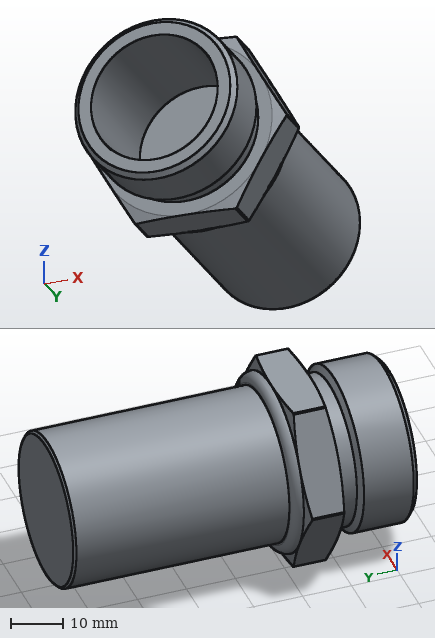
import cadquery as cq
import math

total_length = 70.0
groove_start = 11.2
groove_chamfer_length = 0.9
hex_start = 16.0
hex_end = 24.0
collar_end = 26.05
bore_depth = collar_end

thread_diameter = 33.25
groove_diameter = 30.3
tube_diameter = 31.0
bore_diameter = 26.0
across_flats = 36.0
sharp_corner_diameter = across_flats / math.cos(math.radians(30))
corner_diameter = 41.4

nose_chamfer = 1.05
tube_chamfer = 0.5
hex_chamfer_angle = 15.0


def cylinder(diameter, start, end):
    """Cylinder about the Y axis between two stations."""
    plane = cq.Workplane("XZ", origin=(0, start, 0))
    return plane.circle(diameter / 2).extrude(start - end)


def revolve_profile(points):
    """Revolve a closed (radius, station) outline about the Y axis."""
    return cq.Workplane("XY").polyline(points).close().revolve(360, (0, 0), (0, 1))


def threaded_end():
    """Threaded barrel with a chamfered nose and a relief groove behind it."""
    thread_radius = thread_diameter / 2
    groove_radius = groove_diameter / 2
    return revolve_profile([
        (0, 0),
        (thread_radius - nose_chamfer, 0),
        (thread_radius, nose_chamfer),
        (thread_radius, groove_start),
        (groove_radius, groove_start + groove_chamfer_length),
        (groove_radius, hex_start),
        (0, hex_start),
    ])


def hexagon():
    """Wrench hexagon with conically chamfered faces and slightly turned-down corners."""
    prism = (
        cq.Workplane("XZ", origin=(0, hex_start, 0))
        .polygon(6, sharp_corner_diameter)
        .extrude(hex_start - hex_end)
    )
    face_radius = across_flats / 2
    corner_radius = corner_diameter / 2
    drop = (corner_radius - face_radius) * math.tan(math.radians(hex_chamfer_angle))
    corner_cutter = revolve_profile([
        (0, hex_start),
        (face_radius, hex_start),
        (corner_radius, hex_start + drop),
        (corner_radius, hex_end - drop),
        (face_radius, hex_end),
        (0, hex_end),
    ])
    return prism.intersect(corner_cutter)


def collar():
    """Collar behind the hexagon, rounded from its rim to its rear face."""
    rim_radius = across_flats / 2
    round_radius = collar_end - hex_end
    arc_offset = round_radius * math.sin(math.radians(45))
    arc_middle = (rim_radius - round_radius + arc_offset, hex_end + arc_offset)
    return (
        cq.Workplane("XY")
        .moveTo(0, hex_end)
        .lineTo(rim_radius, hex_end)
        .threePointArc(arc_middle, (rim_radius - round_radius, collar_end))
        .lineTo(0, collar_end)
        .close()
        .revolve(360, (0, 0), (0, 1))
    )


tube = cylinder(tube_diameter, collar_end, total_length).faces(">Y").edges().chamfer(tube_chamfer)

bore = cylinder(bore_diameter, 0, bore_depth)

result = threaded_end().union(hexagon()).union(collar()).union(tube).cut(bore)